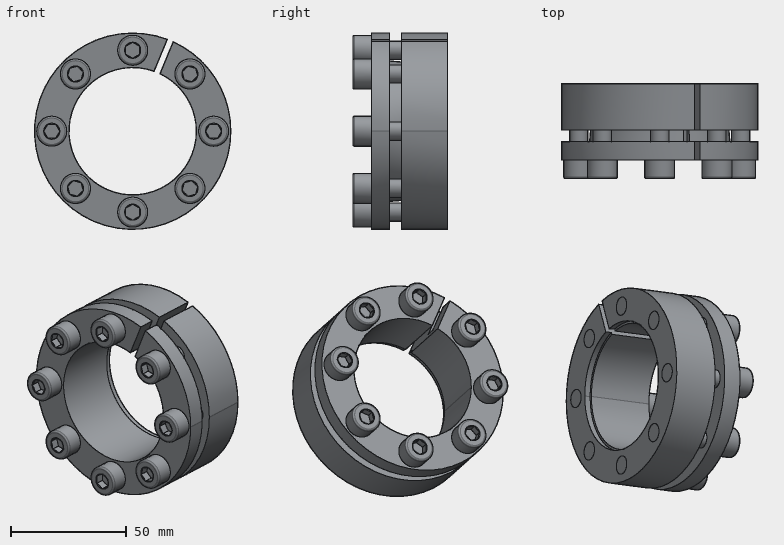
import cadquery as cq
import math

outer_diameter = 84.95
bore_diameter = 55.0
flange_thickness = 8.0
gap_width = 5.0
ring_thickness = 20.05

neck_diameter = 60.8
neck_taper_angle = 5.0
back_recess_depth = 3.0

slit_width = 2.7
slit_angle = 22.5

screw_count = 8
screw_circle_diameter = 70.0
shank_diameter = 8.0
head_diameter = 13.0
head_height = 8.0
head_rim_radius = 0.8
socket_flats = 6.0
socket_mouth_diameter = 7.0
socket_depth = 4.0
mouth_angle = 30.0

head_top = -head_height
neck_front = flange_thickness
ring_front = neck_front + gap_width
ring_back = ring_front + ring_thickness
recess_floor = ring_back - back_recess_depth


def disc(diameter, start, end):
    """Cylinder around the Y axis from start to end."""
    return cq.Workplane("XZ", origin=(0, start, 0)).circle(diameter / 2).extrude(start - end)


def revolve_about_y(profile):
    """Solid of revolution of (radius, Y) points around the Y axis."""
    return cq.Workplane("XY").polyline(profile).close().revolve(360, (0, 0, 0), (0, 1, 0))


def cone_diameter(position):
    """Diameter of the neck cone at a position along Y."""
    return neck_diameter - 2 * (position - neck_front) * math.tan(math.radians(neck_taper_angle))


def cone_frustum(start, end):
    """Solid slice of the neck cone from start to end along Y."""
    start_radius = cone_diameter(start) / 2
    end_radius = cone_diameter(end) / 2
    profile = [(0, start), (start_radius, start), (end_radius, end), (0, end)]
    return revolve_about_y(profile)


def make_slit():
    """Cutter that reaches outward from the Y axis on one side only."""
    slit = cq.Workplane("XY").box(slit_width, ring_back, outer_diameter, centered=(True, False, False))
    return slit.rotate((0, 0, 0), (0, 1, 0), slit_angle)


def make_socket():
    """Hexagonal recess with a countersunk mouth, corners pointing up and down."""
    hex_corner_diameter = socket_flats / math.cos(math.pi / 6)
    hexagon = (
        cq.Workplane("XZ", origin=(0, head_top, 0))
        .transformed(rotate=(0, 0, 90))
        .polygon(6, hex_corner_diameter)
        .extrude(-socket_depth)
    )
    mouth_radius = socket_mouth_diameter / 2
    mouth_tip = head_top + mouth_radius * math.tan(math.radians(mouth_angle))
    mouth_profile = [(0, head_top), (mouth_radius, head_top), (0, mouth_tip)]
    return hexagon.union(revolve_about_y(mouth_profile))


def make_screw():
    """Screw on the Y axis with the underside of its head at Y = 0."""
    head = disc(head_diameter, head_top, 0).faces("<Y").edges().fillet(head_rim_radius)
    shank = disc(shank_diameter, 0, ring_back)
    return head.union(shank).cut(make_socket())


def place_on_screw_circle(body, index):
    """Move a body from the Y axis to its station on the screw circle."""
    at_top = body.translate((0, 0, screw_circle_diameter / 2))
    return at_top.rotate((0, 0, 0), (0, 1, 0), index * 360 / screw_count)


def make_clamp():
    """Flange, tapered neck and rear ring in one piece, bored, slit and drilled for the screws."""
    clamp = disc(outer_diameter, 0, neck_front)
    clamp = clamp.union(cone_frustum(neck_front, ring_front))
    clamp = clamp.union(disc(outer_diameter, ring_front, ring_back))
    clamp = clamp.cut(disc(bore_diameter, 0, ring_back))
    clamp = clamp.cut(cone_frustum(recess_floor, ring_back))
    clamp = clamp.cut(make_slit())
    for index in range(screw_count):
        clamp = clamp.cut(place_on_screw_circle(disc(shank_diameter, 0, ring_back), index))
    return clamp


clamp = make_clamp()
screws = [place_on_screw_circle(make_screw(), index).val() for index in range(screw_count)]

result = cq.Compound.makeCompound([clamp.val(), *screws])